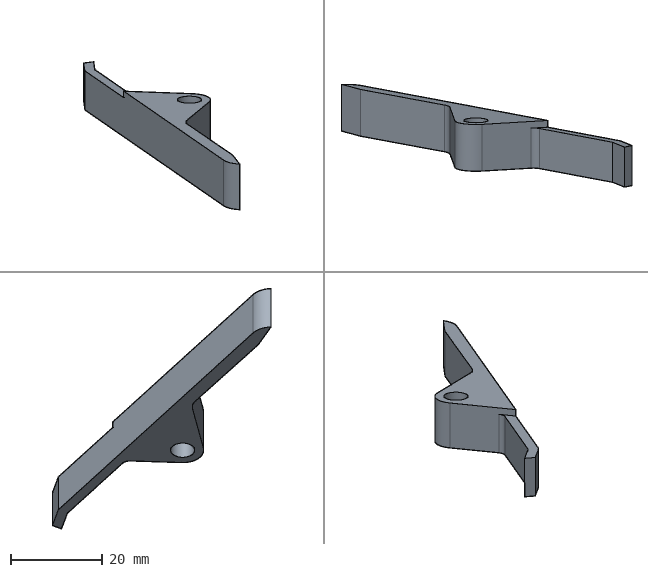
import cadquery as cq
import math

total_length = 87.87
total_depth = 15.44
total_height = 10.5

hole_diameter = 5.28
boss_wall = 2.0
boss_radius = hole_diameter / 2 + boss_wall
pivot_y = total_depth - boss_radius
left_flank_angle = 60.0
right_flank_angle = 42.5

left_reach = 39.0
left_arm_height = 9.0
left_arm_thickness = 2.4
bend_length = 5.6
bend_angle = 20.5
left_root_radius = 2.0

right_reach = total_length - left_reach
right_arm_root_thickness = 3.2
right_arm_end_thickness = 3.35
right_root_radius = 4.0
tip_taper_length = 7.0
tip_y = 2.1
tip_arc_length = 4.1


def flank_tangent_point(angle, side):
    """Point where a flank touches the boss round; side is -1 for left, +1 for right."""
    x = side * boss_radius * math.sin(math.radians(angle))
    y = pivot_y + boss_radius * math.cos(math.radians(angle))
    return x, y


def flank_x(angle, side, y):
    """X of the flank line at the given Y."""
    touch_x, touch_y = flank_tangent_point(angle, side)
    return touch_x + side * (touch_y - y) / math.tan(math.radians(angle))


def make_left_arm():
    """Bent strip that runs into the boss."""
    bend_rise = bend_length * math.tan(math.radians(bend_angle))
    bend_x = -left_reach + bend_length
    outline = (
        cq.Workplane("XY")
        .moveTo(0, 0)
        .lineTo(bend_x, 0)
        .lineTo(-left_reach, bend_rise)
        .lineTo(-left_reach, bend_rise + left_arm_thickness)
        .lineTo(bend_x, left_arm_thickness)
        .lineTo(0, left_arm_thickness)
        .close()
    )
    return outline.extrude(left_arm_height)


def make_boss_and_right_arm():
    """Full-height triangular boss with a rounded top, continuing into the pointed right arm."""
    right_root_x = flank_x(right_flank_angle, 1, right_arm_root_thickness)
    tip_arc_radius = (tip_arc_length**2 + tip_y**2) / (2 * tip_y)
    tip_arc_half_angle = math.asin(tip_arc_length / tip_arc_radius) / 2
    tip_arc_start_x = right_reach - tip_arc_length
    tip_arc_middle = (
        tip_arc_start_x + tip_arc_radius * math.sin(tip_arc_half_angle),
        tip_arc_radius * (1 - math.cos(tip_arc_half_angle)),
    )
    outline = (
        cq.Workplane("XY")
        .moveTo(flank_x(left_flank_angle, -1, 0), 0)
        .lineTo(*flank_tangent_point(left_flank_angle, -1))
        .threePointArc((0, total_depth), flank_tangent_point(right_flank_angle, 1))
        .lineTo(right_root_x, right_arm_root_thickness)
        .lineTo(right_reach - tip_taper_length, right_arm_end_thickness)
        .lineTo(right_reach, tip_y)
        .threePointArc(tip_arc_middle, (tip_arc_start_x, 0))
        .close()
    )
    body = outline.extrude(total_height)
    return fillet_upright_edge(body, right_root_x, right_arm_root_thickness, right_root_radius)


def fillet_upright_edge(body, x, y, radius):
    """Round the vertical edge that stands at (x, y)."""
    edge = cq.selectors.NearestToPointSelector((x, y, left_arm_height / 2))
    return body.edges("|Z").edges(edge).fillet(radius)


def drill_pivot_hole(body):
    """Through hole along Z, concentric with the boss round."""
    drill = cq.Workplane("XY").center(0, pivot_y).circle(hole_diameter / 2).extrude(total_height)
    return body.cut(drill)


lever = make_boss_and_right_arm().union(make_left_arm())
left_root_x = flank_x(left_flank_angle, -1, left_arm_thickness)
lever = fillet_upright_edge(lever, left_root_x, left_arm_thickness, left_root_radius)
result = drill_pivot_hole(lever)